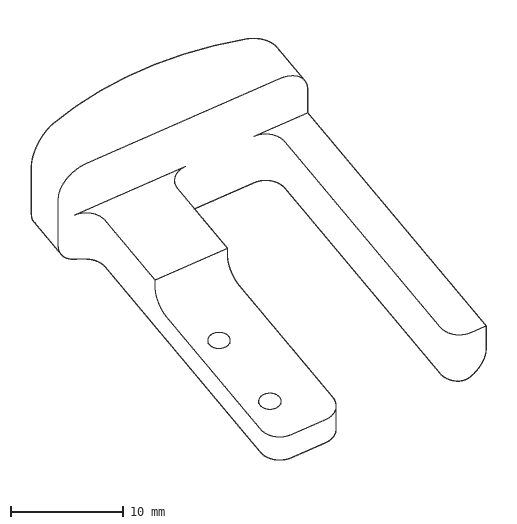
import cadquery as cq
import math

HEAD_WIDTH = 26.0
HEAD_HEIGHT = 12.0
HEAD_CORNER_RADIUS = 3.0
HEAD_DEPTH = 7.3
FRONT_RADIUS = 33.0

ARM_LENGTH = 30.65
ARM_HEIGHT = 6.0
PLAIN_ARM_WIDTH = 3.6
DRILLED_ARM_WIDTH = 7.55
DRILLED_ARM_INSET = 3.7
ARM_RADIUS = 2.0

STEP_LENGTH = 20.1
STEP_FLOOR_HEIGHT = 3.0
STEP_RADIUS = 2.0

HOLE_DIAMETER = 2.0
HOLE_COUNT = 2
HOLE_TIP_DISTANCE = 4.5
HOLE_SPACING = 8.75
HOLE_EDGE_DISTANCE = 2.5

HALF_WIDTH = HEAD_WIDTH / 2
FRONT_SAGITTA = FRONT_RADIUS - math.sqrt(FRONT_RADIUS**2 - HALF_WIDTH**2)
TIP_X = HEAD_DEPTH + ARM_LENGTH
PLAIN_ARM_INNER_Y = HALF_WIDTH - PLAIN_ARM_WIDTH
DRILLED_ARM_OUTER_Y = -HALF_WIDTH + DRILLED_ARM_INSET
DRILLED_ARM_INNER_Y = DRILLED_ARM_OUTER_Y + DRILLED_ARM_WIDTH


def make_head():
    """Block with an arc-shaped front, still with square corners."""
    return (
        cq.Workplane("XY")
        .moveTo(HEAD_DEPTH, -HALF_WIDTH)
        .lineTo(HEAD_DEPTH, HALF_WIDTH)
        .lineTo(FRONT_SAGITTA, HALF_WIDTH)
        .threePointArc((0, 0), (FRONT_SAGITTA, -HALF_WIDTH))
        .close()
        .extrude(HEAD_HEIGHT)
    )


def make_arm(low_y, high_y):
    """Straight bar from the back of the head to the arm tips."""
    return (
        cq.Workplane("XY")
        .box(ARM_LENGTH, high_y - low_y, ARM_HEIGHT, centered=False)
        .translate((HEAD_DEPTH, low_y, 0))
    )


def make_plain_arm():
    """Narrow arm flush with the +Y side, rounded at the inner tip corner only."""
    arm = make_arm(PLAIN_ARM_INNER_Y, HALF_WIDTH)
    return arm.edges("|Z and >X and <Y").fillet(ARM_RADIUS)


def make_step_cutter():
    """Block that lowers the drilled arm's end, with a rounded inside corner."""
    return (
        cq.Workplane("XY")
        .box(STEP_LENGTH, DRILLED_ARM_WIDTH, ARM_HEIGHT, centered=False)
        .edges("|Y and <X and <Z")
        .fillet(STEP_RADIUS)
        .translate((TIP_X - STEP_LENGTH, DRILLED_ARM_OUTER_Y, STEP_FLOOR_HEIGHT))
    )


def make_drilled_arm():
    """Wide arm with both tip corners rounded, a lowered end and through holes."""
    arm = make_arm(DRILLED_ARM_OUTER_Y, DRILLED_ARM_INNER_Y)
    arm = arm.edges("|Z and >X").fillet(ARM_RADIUS).cut(make_step_cutter())
    hole_y = DRILLED_ARM_OUTER_Y + HOLE_EDGE_DISTANCE
    for index in range(HOLE_COUNT):
        hole_x = TIP_X - HOLE_TIP_DISTANCE - index * HOLE_SPACING
        hole = cq.Workplane("XY").center(hole_x, hole_y).circle(HOLE_DIAMETER / 2).extrude(ARM_HEIGHT)
        arm = arm.cut(hole)
    return arm


def make_root_fillet(arm_side_y, direction):
    """Concave fillet between the head's back and an arm side facing direction (+1 or -1 in Y)."""
    centre_x = HEAD_DEPTH + ARM_RADIUS
    centre_y = arm_side_y + direction * ARM_RADIUS
    arc_offset = ARM_RADIUS * math.sqrt(0.5)
    return (
        cq.Workplane("XY")
        .moveTo(HEAD_DEPTH, arm_side_y)
        .lineTo(centre_x, arm_side_y)
        .threePointArc(
            (centre_x - arc_offset, centre_y - direction * arc_offset),
            (HEAD_DEPTH, centre_y),
        )
        .close()
        .extrude(ARM_HEIGHT)
    )


def make_envelope():
    """Rounded rectangle running the full length, shared by the head and the arms."""
    return (
        cq.Workplane("XY")
        .box(TIP_X, HEAD_WIDTH, HEAD_HEIGHT, centered=(False, True, False))
        .edges("|X")
        .fillet(HEAD_CORNER_RADIUS)
    )


body = make_head().union(make_plain_arm()).union(make_drilled_arm())
for side_y, facing in (
    (PLAIN_ARM_INNER_Y, -1),
    (DRILLED_ARM_INNER_Y, 1),
    (DRILLED_ARM_OUTER_Y, -1),
):
    body = body.union(make_root_fillet(side_y, facing))

result = body.intersect(make_envelope())